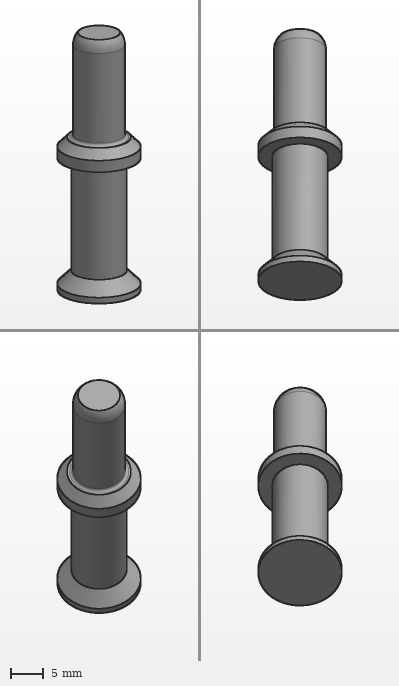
import cadquery as cq

total_height = 41.5
collar_radius = 6.35

foot_rim_height = 1.0
shank_radius = 4.25
foot_cone_height = collar_radius - shank_radius
foot_top = foot_rim_height + foot_cone_height

collar_bottom = 21.25
collar_rim_height = 1.85
collar_cone_height = 1.5
collar_rim_top = collar_bottom + collar_rim_height
collar_top = collar_rim_top + collar_cone_height
collar_top_radius = collar_radius - collar_cone_height

pin_radius = 4.0
root_fillet = 0.5
nose_height = 1.9
nose_flat_radius = 3.2
nose_start = total_height - nose_height

profile = (
    cq.Workplane("XZ")
    .lineTo(collar_radius, 0)
    .lineTo(collar_radius, foot_rim_height)
    .lineTo(shank_radius, foot_top)
    .lineTo(shank_radius, collar_bottom)
    .lineTo(collar_radius, collar_bottom)
    .lineTo(collar_radius, collar_rim_top)
    .lineTo(collar_top_radius, collar_top)
    .lineTo(pin_radius + root_fillet, collar_top)
    .tangentArcPoint((pin_radius, collar_top + root_fillet), relative=False)
    .lineTo(pin_radius, nose_start)
    .tangentArcPoint((nose_flat_radius, total_height), relative=False)
    .lineTo(0, total_height)
    .close()
)

result = profile.revolve(360, (0, 0, 0), (0, 1, 0))